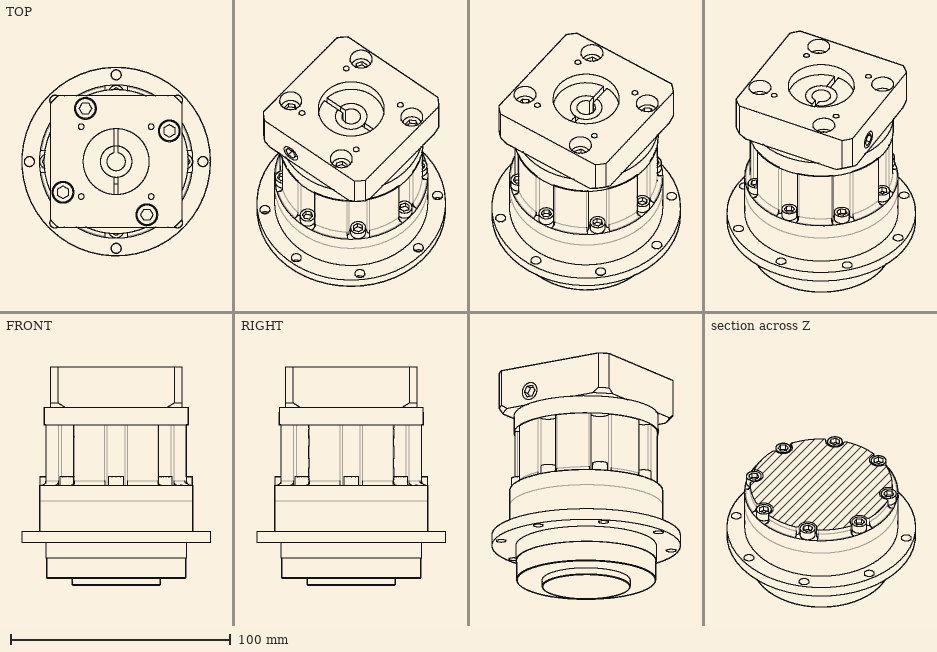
import cadquery as cq
import math

OUTPUT_DISC_BOTTOM = 3.2
PILOT_BOTTOM = 12.3
FLANGE_BOTTOM = 19.5
FLANGE_TOP = 24.6
RING_JOINT = 38.3
SHOULDER = 45.6
GEARBOX_TOP = 73.0

BOSS_RADIUS = 20.1
OUTPUT_DISC_RADIUS = 31.7
PILOT_RADIUS = 32.0
BARREL_RADIUS = 32.4
FLANGE_RADIUS = 43.0
RING_RADIUS = 34.9
OUTPUT_CHAMFER = 0.3

FLANGE_HOLE_COUNT = 8
FLANGE_HOLE_CIRCLE_RADIUS = 39.5
FLANGE_HOLE_DIAMETER = 4.5

SCREW_COUNT = 8
SCREW_HEAD_RADIUS = 3.4
SCREW_HEAD_HEIGHT = 4.0
SCREW_CIRCLE_RADIUS = 31.3
SCREW_HEX_FLATS = 4.0
SCREW_HEX_DEPTH = 2.5
FLUTE_RADIUS = 4.1
FLUTE_EDGE_RADIUS = 1.0
BARREL_FOOT_RADIUS = 2.0

COLLAR_RADIUS = 32.8
PLATE_BOTTOM = 81.1
ADAPTER_TOP = 99.5
PLATE_SIDE = 60.0
PLATE_CORNER_RADIUS = 40.0
PLATE_CORNER_CHAMFER = 2.0
ADAPTER_BORE_RADIUS = 15.0

BOLT_COUNT = 4
BOLT_CIRCLE_RADIUS = 28.0
BOLT_FIRST_ANGLE = 30
COUNTERBORE_RADIUS = 5.0
COUNTERBORE_DEPTH = 11.9
BOLT_HEAD_RADIUS = 4.5
BOLT_HEAD_HEIGHT = 5.8
BOLT_HEX_FLATS = 5.0
BOLT_HEX_DEPTH = 2.5

MOTOR_HOLE_COUNT = 4
MOTOR_HOLE_SPACING = 31.8
MOTOR_HOLE_FIRST_ANGLE = 45
MOTOR_HOLE_DIAMETER = 2.6
MOTOR_HOLE_DEPTH = 8.0
DRILL_POINT_ANGLE = 118

HUB_TOP = 93.5
BUSHING_RADIUS = 7.2
BUSHING_BORE_RADIUS = 4.2
BUSHING_LENGTH = 19.9
SLIT_WIDTH = 1.9
HUB_SLIT_DEPTH = 11.9
SHALLOW_SLIT_DEPTH = 8.0
SHALLOW_SLIT_INNER_RADIUS = 10.1

PLUG_RADIUS = 4.0
PLUG_LENGTH = 6.0
PLUG_Y = 11.0
PLUG_Z = 87.4
PLUG_HEX_FLATS = 5.0
PLUG_HEX_DEPTH = 3.0


def cylinder(radius, bottom, top):
    """Upright cylinder on the main axis between two heights."""
    return cq.Workplane("XY").workplane(offset=bottom).circle(radius).extrude(top - bottom)


def hex_diameter(across_flats):
    """Corner-to-corner size of a hexagon."""
    return across_flats / math.cos(math.pi / 6)


def socket_head(radius, hex_flats, hex_depth, bottom, height):
    """Cylindrical screw head on the main axis with a hexagon socket in its top."""
    head = cylinder(radius, bottom, bottom + height)
    return head.faces(">Z").workplane().polygon(6, hex_diameter(hex_flats)).cutBlind(-hex_depth)


def copies_around(shape, circle_radius, count, first_angle=0):
    """Copies of a shape from the main axis, spread evenly on a circle and turned with it."""
    moved = shape.translate((circle_radius, 0, 0))
    step = 360 / count
    return [moved.rotate((0, 0, 0), (0, 0, 1), first_angle + i * step) for i in range(count)]


def open_slot(half_width, height):
    """Upright slot on the shoulder with a round floor, open toward +X, centred on the main axis."""
    top = SHOULDER + height
    opening = cq.Workplane("XY").workplane(offset=SHOULDER)
    opening = opening.center(half_width, 0).rect(2 * half_width, 2 * half_width).extrude(height)
    return cylinder(half_width, SHOULDER, top).union(opening)


def barrel_foot():
    """Concave flare from the barrel to the shoulder, interrupted at the flutes."""
    inner_radius = BARREL_RADIUS - FLUTE_EDGE_RADIUS
    foot_top = SHOULDER + BARREL_FOOT_RADIUS
    arc_offset = BARREL_FOOT_RADIUS * (1 - math.sqrt(0.5))
    foot = (
        cq.Workplane("XZ")
        .moveTo(inner_radius, SHOULDER)
        .lineTo(BARREL_RADIUS + BARREL_FOOT_RADIUS, SHOULDER)
        .threePointArc(
            (BARREL_RADIUS + arc_offset, SHOULDER + arc_offset),
            (BARREL_RADIUS, foot_top),
        )
        .lineTo(inner_radius, foot_top)
        .close()
        .revolve(360, (0, 0, 0), (0, 1, 0))
    )
    gap = open_slot(FLUTE_RADIUS + FLUTE_EDGE_RADIUS, BARREL_FOOT_RADIUS)
    for cutter in copies_around(gap, SCREW_CIRCLE_RADIUS, SCREW_COUNT):
        foot = foot.cut(cutter)
    return foot


def fluted_barrel():
    """Barrel with a rounded-edge flute for each housing screw."""
    barrel = cylinder(BARREL_RADIUS, SHOULDER, GEARBOX_TOP)
    flute = open_slot(FLUTE_RADIUS, GEARBOX_TOP - SHOULDER)
    for cutter in copies_around(flute, SCREW_CIRCLE_RADIUS, SCREW_COUNT):
        barrel = barrel.cut(cutter)
    return barrel.edges("|Z").fillet(FLUTE_EDGE_RADIUS)


def make_clamp_hub():
    """Hub that fills the adapter's bore, recessed for the bushing and slit on both sides."""
    hub = cylinder(ADAPTER_BORE_RADIUS, GEARBOX_TOP, HUB_TOP)
    slit = cq.Workplane("XY").workplane(offset=HUB_TOP)
    deep_length = ADAPTER_BORE_RADIUS + SHALLOW_SLIT_INNER_RADIUS
    deep_center = (ADAPTER_BORE_RADIUS - SHALLOW_SLIT_INNER_RADIUS) / 2
    hub = hub.cut(slit.center(0, deep_center).rect(SLIT_WIDTH, deep_length).extrude(-HUB_SLIT_DEPTH))
    shallow = slit.center(0, -ADAPTER_BORE_RADIUS / 2).rect(SLIT_WIDTH, ADAPTER_BORE_RADIUS)
    hub = hub.cut(shallow.extrude(-SHALLOW_SLIT_DEPTH))
    return hub.cut(cylinder(BUSHING_RADIUS, HUB_TOP - BUSHING_LENGTH, HUB_TOP))


def make_gearbox():
    """Output end, mounting flange, gear ring, barrel, screw heads and clamp hub."""
    gearbox = cylinder(BOSS_RADIUS, 0, OUTPUT_DISC_BOTTOM).faces("<Z").chamfer(OUTPUT_CHAMFER)
    output_disc = cylinder(OUTPUT_DISC_RADIUS, OUTPUT_DISC_BOTTOM, PILOT_BOTTOM)
    gearbox = gearbox.union(output_disc.faces("<Z").chamfer(OUTPUT_CHAMFER))
    gearbox = gearbox.union(cylinder(PILOT_RADIUS, PILOT_BOTTOM, FLANGE_BOTTOM))

    flange = cylinder(FLANGE_RADIUS, FLANGE_BOTTOM, FLANGE_TOP)
    flange_hole = cylinder(FLANGE_HOLE_DIAMETER / 2, FLANGE_BOTTOM, FLANGE_TOP)
    for cutter in copies_around(flange_hole, FLANGE_HOLE_CIRCLE_RADIUS, FLANGE_HOLE_COUNT):
        flange = flange.cut(cutter)
    gearbox = gearbox.union(flange).union(cylinder(RING_RADIUS, FLANGE_TOP, RING_JOINT))

    upper = cylinder(RING_RADIUS, RING_JOINT, SHOULDER)
    upper = upper.union(fluted_barrel()).union(barrel_foot()).union(make_clamp_hub())
    head = socket_head(SCREW_HEAD_RADIUS, SCREW_HEX_FLATS, SCREW_HEX_DEPTH, SHOULDER, SCREW_HEAD_HEIGHT)
    for screw in copies_around(head, SCREW_CIRCLE_RADIUS, SCREW_COUNT):
        upper = upper.union(screw)
    return gearbox.union(upper, clean=False)


def adapter_plate():
    """Square plate with corners turned to a cylinder, which is chamfered along its lower edge."""
    square = cq.Workplane("XY").workplane(offset=PLATE_BOTTOM).rect(PLATE_SIDE, PLATE_SIDE)
    turned = cylinder(PLATE_CORNER_RADIUS, PLATE_BOTTOM, ADAPTER_TOP)
    turned = turned.faces("<Z").chamfer(PLATE_CORNER_CHAMFER)
    return square.extrude(ADAPTER_TOP - PLATE_BOTTOM).intersect(turned)


def motor_hole():
    """Blind drilled hole on the main axis with a pointed bottom."""
    radius = MOTOR_HOLE_DIAMETER / 2
    straight_bottom = ADAPTER_TOP - MOTOR_HOLE_DEPTH
    tip = straight_bottom - radius / math.tan(math.radians(DRILL_POINT_ANGLE / 2))
    return (
        cq.Workplane("XZ")
        .moveTo(0, tip)
        .lineTo(radius, straight_bottom)
        .lineTo(radius, ADAPTER_TOP)
        .lineTo(0, ADAPTER_TOP)
        .close()
        .revolve(360, (0, 0, 0), (0, 1, 0))
    )


def plug_plane():
    """Plane on the plate's -X side, centred on the plug and facing into the plate."""
    return cq.Workplane("YZ", origin=(-PLATE_SIDE / 2, PLUG_Y, PLUG_Z))


def plug_blank():
    """Solid cylinder that fills the plug hole, flush with the plate's -X side."""
    return plug_plane().circle(PLUG_RADIUS).extrude(PLUG_LENGTH)


def make_adapter():
    """Collar and plate with the hub bore, sunk bolts, motor holes and plug hole."""
    adapter = cylinder(COLLAR_RADIUS, GEARBOX_TOP, PLATE_BOTTOM).union(adapter_plate())
    adapter = adapter.cut(cylinder(ADAPTER_BORE_RADIUS, GEARBOX_TOP, ADAPTER_TOP))

    counterbore_floor = ADAPTER_TOP - COUNTERBORE_DEPTH
    counterbore = cylinder(COUNTERBORE_RADIUS, counterbore_floor, ADAPTER_TOP)
    head = socket_head(BOLT_HEAD_RADIUS, BOLT_HEX_FLATS, BOLT_HEX_DEPTH, counterbore_floor, BOLT_HEAD_HEIGHT)
    sunk_bolt = counterbore.cut(head)
    for cutter in copies_around(sunk_bolt, BOLT_CIRCLE_RADIUS, BOLT_COUNT, BOLT_FIRST_ANGLE):
        adapter = adapter.cut(cutter)

    hole_circle_radius = MOTOR_HOLE_SPACING / math.sqrt(2)
    for cutter in copies_around(motor_hole(), hole_circle_radius, MOTOR_HOLE_COUNT, MOTOR_HOLE_FIRST_ANGLE):
        adapter = adapter.cut(cutter)
    return adapter.cut(plug_blank())


def make_bushing():
    """Bushing flush with the hub's top, split on its +Y side."""
    bottom = HUB_TOP - BUSHING_LENGTH
    bushing = cylinder(BUSHING_RADIUS, bottom, HUB_TOP)
    bushing = bushing.cut(cylinder(BUSHING_BORE_RADIUS, bottom, HUB_TOP))
    split = cq.Workplane("XY").workplane(offset=bottom).center(0, BUSHING_RADIUS / 2)
    return bushing.cut(split.rect(SLIT_WIDTH, BUSHING_RADIUS).extrude(BUSHING_LENGTH))


def make_plug():
    """Plug with a hexagon socket in its outer face."""
    socket = plug_plane().polygon(6, hex_diameter(PLUG_HEX_FLATS)).extrude(PLUG_HEX_DEPTH)
    return plug_blank().cut(socket)


gearbox = make_gearbox().solids()
adapter = make_adapter().solids()
bushing = make_bushing().solids()
plug = make_plug().solids()

result = cq.Compound.makeCompound([gearbox.val(), adapter.val(), bushing.val(), plug.val()])